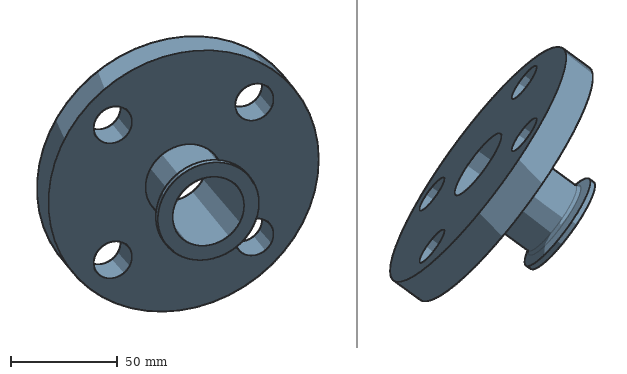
import cadquery as cq
import math

flange_diameter = 135.0
flange_thickness = 15.9

overall_length = 50.0
pipe_diameter = 38.1
bore_diameter = 35.6
ferrule_diameter = 50.5
rim_thickness = 2.8
cone_angle = 20.0
neck_fillet = 1.8

bolt_hole_diameter = 19.0
bolt_circle_diameter = 99.9
bolt_count = 4
first_bolt_angle = 45.0


def make_body():
    """Revolve the flange, pipe and ferrule outline about the X axis."""
    flange_radius = flange_diameter / 2
    pipe_radius = pipe_diameter / 2
    ferrule_radius = ferrule_diameter / 2
    slope = math.radians(cone_angle)

    rim_start = overall_length - rim_thickness
    cone_start = rim_start - (ferrule_radius - pipe_radius) * math.tan(slope)

    turn = math.pi / 2 - slope
    tangent_length = neck_fillet * math.tan(turn / 2)
    arc_start = (cone_start - tangent_length, pipe_radius)
    arc_middle = (
        arc_start[0] + neck_fillet * math.sin(turn / 2),
        pipe_radius + neck_fillet * (1 - math.cos(turn / 2)),
    )
    arc_end = (
        cone_start + tangent_length * math.sin(slope),
        pipe_radius + tangent_length * math.cos(slope),
    )

    outline = (
        cq.Workplane("XY")
        .lineTo(0, flange_radius)
        .lineTo(flange_thickness, flange_radius)
        .lineTo(flange_thickness, pipe_radius)
        .lineTo(*arc_start)
        .threePointArc(arc_middle, arc_end)
        .lineTo(rim_start, ferrule_radius)
        .lineTo(overall_length, ferrule_radius)
        .lineTo(overall_length, 0)
        .close()
    )
    return outline.revolve(360, (0, 0, 0), (1, 0, 0))


def make_bore():
    """Straight bore through the whole part."""
    return cq.Workplane("YZ").circle(bore_diameter / 2).extrude(overall_length)


def make_bolt_holes():
    """Evenly spaced holes through the flange."""
    return (
        cq.Workplane("YZ")
        .polarArray(bolt_circle_diameter / 2, first_bolt_angle, 360, bolt_count)
        .circle(bolt_hole_diameter / 2)
        .extrude(flange_thickness)
    )


result = make_body().cut(make_bore()).cut(make_bolt_holes())